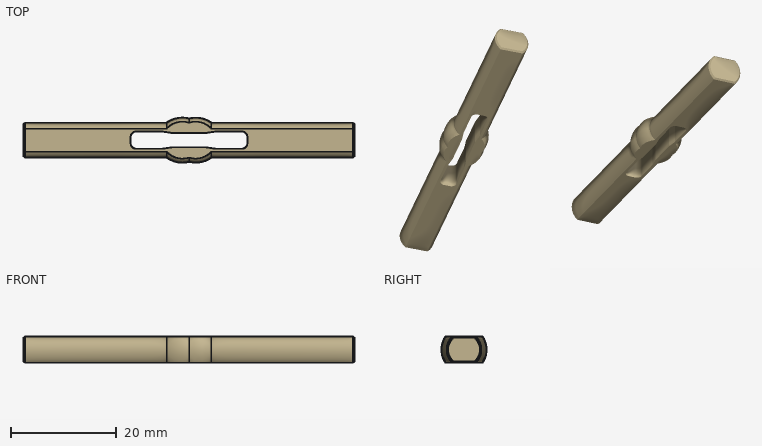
import cadquery as cq
import math

bar_length = 62.5
bar_diameter = 6.6
flat_thickness = 5.0
end_chamfer = 0.3

swelling_diameter = 8.57
barrel_arc_radius = 5.0
barrel_offset = 1.25

slot_length = 22.0
slot_width = 3.2
slot_corner_radius = 1.0
waist_width = 2.6
waist_length = 6.0
taper_length = 2.0


def flattened(body):
    """Trim a body to the thickness between the two flats."""
    slab = cq.Workplane("XY").box(bar_length, 2 * swelling_diameter, flat_thickness)
    return body.intersect(slab)


def make_bar():
    """Flattened round bar with both end faces chamfered all around."""
    bar = cq.Workplane("YZ").circle(bar_diameter / 2).extrude(bar_length / 2, both=True)
    return flattened(bar).faces("<X or >X").chamfer(end_chamfer)


def make_swelling():
    """Two crowned barrels side by side, trimmed flush with the flats.

    Each crown is an arc that starts on the bar surface, peaks at the barrel
    centre and meets its neighbour in a shallow valley at X = 0.
    """
    bar_radius = bar_diameter / 2
    peak_radius = swelling_diameter / 2
    arc_centre_radius = peak_radius - barrel_arc_radius
    end_x = barrel_offset + math.sqrt(barrel_arc_radius**2 - (bar_radius - arc_centre_radius) ** 2)
    valley_radius = arc_centre_radius + math.sqrt(barrel_arc_radius**2 - barrel_offset**2)
    profile = (
        cq.Workplane("XY")
        .moveTo(-end_x, 0)
        .lineTo(-end_x, bar_radius)
        .threePointArc((-barrel_offset, peak_radius), (0, valley_radius))
        .threePointArc((barrel_offset, peak_radius), (end_x, bar_radius))
        .lineTo(end_x, 0)
        .close()
    )
    return flattened(profile.revolve(360, (0, 0, 0), (1, 0, 0)))


def make_waist_cheek(side):
    """Trapezoid that narrows the slot on one side (+1 or -1 along Y)."""
    inner_x = waist_length / 2
    outer_x = inner_x + taper_length
    inner_y = side * waist_width / 2
    outer_y = side * slot_width / 2
    outline = [(-outer_x, outer_y), (-inner_x, inner_y), (inner_x, inner_y), (outer_x, outer_y)]
    return cq.Workplane("XY").polyline(outline).close().extrude(flat_thickness / 2, both=True)


def make_slot():
    """Tool body of the slot: a rounded rectangle less the two waist cheeks."""
    slot = cq.Workplane("XY").box(slot_length, slot_width, flat_thickness)
    slot = slot.edges("|Z").fillet(slot_corner_radius)
    for side in (-1, 1):
        slot = slot.cut(make_waist_cheek(side))
    return slot


result = make_bar().union(make_swelling()).cut(make_slot())